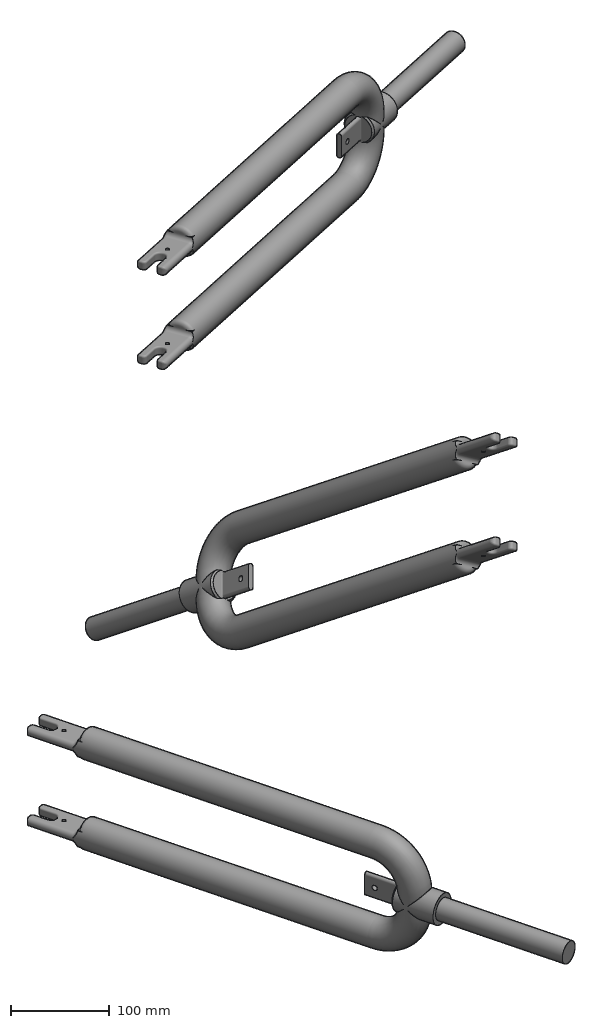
import cadquery as cq
import math


TUBE_DIAMETER = 35.0
TUBE_RADIUS = TUBE_DIAMETER / 2
STEERER_DIAMETER = 25.0
STEERER_LENGTH = 150.0
SLEEVE_LENGTH = 50.0
SLEEVE_CHAMFER = 2.0
SLEEVE_FRONT = 32.5
SLEEVE_END_Y = SLEEVE_FRONT - SLEEVE_LENGTH

LEG_SPACING = 110.0
BEND_RADIUS = 45.0
LEG_LENGTH = 345.0
LEG_OFFSET = LEG_SPACING / 2
BEND_CENTRE_Z = LEG_OFFSET - BEND_RADIUS
LEG_START_Y = -BEND_RADIUS
LEG_END_Y = LEG_START_Y - LEG_LENGTH
LEG_END_FILLET = 5.0

TAB_THICKNESS = 6.0
TAB_ROOT_FILLET = 1.0
TAB_HEIGHT = 28.0
TAB_END_Y = -57.5
TAB_HOLE_DIAMETER = 6.0
TAB_HOLE_SETBACK = 12.0

DROPOUT_LENGTH = 60.0
DROPOUT_THICKNESS = 10.0
DROPOUT_WIDTH = TUBE_DIAMETER
DROPOUT_EDGE_X = (DROPOUT_WIDTH - DROPOUT_THICKNESS) / 2
DROPOUT_END_Y = LEG_END_Y - DROPOUT_LENGTH
DROPOUT_EMBED = 10.0
DROPOUT_ROOT_FILLET = 5.0
TIP_CORNER_RADIUS = 5.0
AXLE_SLOT_WIDTH = 12.0
AXLE_SLOT_DEPTH = 20.0
SLOT_MOUTH_RADIUS = 4.0
AXLE_SLOT_FILLET = 2.0
DROPOUT_HOLE_DIAMETER = 4.0
DROPOUT_HOLE_SETBACK = 35.0


def rod(diameter, y_start, y_end):
    """Cylinder along -Y from y_start down to y_end."""
    plane = cq.Workplane("XZ", origin=(0, y_start, 0))
    return plane.circle(diameter / 2).extrude(y_start - y_end)


def rounded_bar(width, height, y_start, y_end):
    """Bar along -Y whose section has full-round short sides."""
    plane = cq.Workplane("XZ", origin=(0, y_start, 0))
    if width > height:
        return plane.slot2D(width, height).extrude(y_start - y_end)
    return plane.slot2D(height, width, 90).extrude(y_start - y_end)


def make_bend():
    """U-shaped crown tube: two quarter bends joined by a short straight."""
    diagonal = BEND_RADIUS * math.sqrt(0.5)
    path = (
        cq.Workplane("YZ")
        .moveTo(LEG_START_Y, LEG_OFFSET)
        .threePointArc((LEG_START_Y + diagonal, BEND_CENTRE_Z + diagonal), (0, BEND_CENTRE_Z))
        .lineTo(0, -BEND_CENTRE_Z)
        .threePointArc((LEG_START_Y + diagonal, -BEND_CENTRE_Z - diagonal), (LEG_START_Y, -LEG_OFFSET))
    )
    section = cq.Workplane("XZ", origin=(0, LEG_START_Y, LEG_OFFSET)).circle(TUBE_RADIUS)
    return section.sweep(path)


def make_sleeve():
    """Sleeve through the crown, carrying the steerer tube."""
    sleeve = rod(TUBE_DIAMETER, SLEEVE_FRONT, SLEEVE_END_Y).faces("<Y").chamfer(SLEEVE_CHAMFER)
    return sleeve.union(rod(STEERER_DIAMETER, SLEEVE_FRONT + STEERER_LENGTH, 0))


def add_tab(sleeve):
    """Add the drilled tab, filleted to the sleeve end, that points between the legs."""
    tabbed = sleeve.union(rounded_bar(TAB_THICKNESS, TAB_HEIGHT, 0, TAB_END_Y))
    reach_x = TAB_THICKNESS / 2 + TAB_ROOT_FILLET
    reach_z = TAB_HEIGHT / 2 + TAB_ROOT_FILLET
    root_region = cq.selectors.BoxSelector(
        (-reach_x, SLEEVE_END_Y - TAB_ROOT_FILLET, -reach_z),
        (reach_x, SLEEVE_END_Y + TAB_ROOT_FILLET, reach_z),
        boundingbox=True,
    )
    hole = (
        cq.Workplane("YZ")
        .center(TAB_END_Y + TAB_HOLE_SETBACK, 0)
        .circle(TAB_HOLE_DIAMETER / 2)
        .extrude(TAB_THICKNESS, both=True)
    )
    return tabbed.edges(root_region).fillet(TAB_ROOT_FILLET).cut(hole)


def make_root_fillet():
    """Concave fillet around the dropout where it leaves the leg end."""
    half = DROPOUT_THICKNESS / 2
    radius = DROPOUT_ROOT_FILLET
    middle = radius * (1 - math.sqrt(0.5))

    def profile(x):
        return (
            cq.Workplane("YZ", origin=(x, LEG_END_Y, 0))
            .moveTo(DROPOUT_EMBED, 0)
            .lineTo(DROPOUT_EMBED, half + radius)
            .lineTo(0, half + radius)
            .threePointArc((-middle, half + middle), (-radius, half))
            .lineTo(-radius, 0)
            .close()
        )

    upper = profile(-DROPOUT_EDGE_X).extrude(2 * DROPOUT_EDGE_X)
    fillet = upper.union(upper.mirror("XY"))
    for x in (-DROPOUT_EDGE_X, DROPOUT_EDGE_X):
        fillet = fillet.union(profile(x).revolve(360, (0, 0, 0), (1, 0, 0)))
    inside_leg = rod(TUBE_DIAMETER, LEG_END_Y + DROPOUT_EMBED, DROPOUT_END_Y)
    return fillet.intersect(inside_leg)


def make_axle_slot():
    """Cutter for the axle slot with its rounded mouth."""
    half_width = AXLE_SLOT_WIDTH / 2
    centre_y = DROPOUT_END_Y + AXLE_SLOT_DEPTH
    mouth_y = DROPOUT_END_Y + SLOT_MOUTH_RADIUS
    mouth_half_width = half_width + SLOT_MOUTH_RADIUS
    return (
        cq.Workplane("XY", origin=(0, 0, -DROPOUT_THICKNESS / 2))
        .moveTo(-half_width, centre_y)
        .threePointArc((0, centre_y + half_width), (half_width, centre_y))
        .lineTo(half_width, mouth_y)
        .radiusArc((mouth_half_width, DROPOUT_END_Y), -SLOT_MOUTH_RADIUS)
        .lineTo(-mouth_half_width, DROPOUT_END_Y)
        .radiusArc((-half_width, mouth_y), -SLOT_MOUTH_RADIUS)
        .close()
        .extrude(DROPOUT_THICKNESS)
    )


def make_dropout():
    """Forked plate with rounded edges, open axle slot and a small hole."""
    plate_start_y = LEG_END_Y + DROPOUT_EMBED
    plate = rounded_bar(DROPOUT_WIDTH, DROPOUT_THICKNESS, plate_start_y, DROPOUT_END_Y)
    outline = (
        cq.Workplane("XY")
        .center(0, (plate_start_y + DROPOUT_END_Y) / 2)
        .rect(DROPOUT_WIDTH, plate_start_y - DROPOUT_END_Y)
        .extrude(DROPOUT_THICKNESS, both=True)
        .edges("|Z and <Y")
        .fillet(TIP_CORNER_RADIUS)
    )
    hole = (
        cq.Workplane("XY")
        .center(0, DROPOUT_END_Y + DROPOUT_HOLE_SETBACK)
        .circle(DROPOUT_HOLE_DIAMETER / 2)
        .extrude(DROPOUT_THICKNESS, both=True)
    )
    forked = plate.intersect(outline).cut(make_axle_slot())
    slot_region = cq.selectors.BoxSelector(
        (-AXLE_SLOT_WIDTH, DROPOUT_END_Y + TIP_CORNER_RADIUS, -DROPOUT_THICKNESS),
        (AXLE_SLOT_WIDTH, DROPOUT_END_Y + 2 * AXLE_SLOT_DEPTH, DROPOUT_THICKNESS),
    )
    slot_rims = forked.faces("|Z").edges(slot_region).edges("%CIRCLE")
    return slot_rims.fillet(AXLE_SLOT_FILLET).cut(hole)


def make_leg():
    """Straight leg tube with its dropout, centred on Z = 0."""
    tube = rod(TUBE_DIAMETER, LEG_START_Y, LEG_END_Y).faces("<Y").edges().fillet(LEG_END_FILLET)
    return tube.union(make_root_fillet().union(make_dropout()))


result = make_bend().union(add_tab(make_sleeve()))
leg = make_leg()
for z in (-LEG_OFFSET, LEG_OFFSET):
    result = result.union(leg.translate((0, 0, z)))